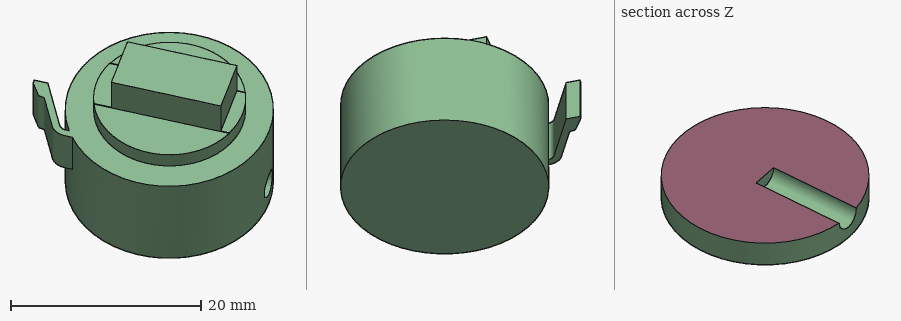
import cadquery as cq
import math

drum_diameter = 21.9
drum_top = 11.25
screw_hole_diameter = 3.0
screw_hole_height = 3.0

arm_height = 5.0
arm_bottom = drum_top - arm_height
arm_lean = math.radians(62)
arm_thickness = 0.8
bend_inner_radius = 1.0
bend_outer_radius = bend_inner_radius + arm_thickness
bend_x = -9.56
bend_y = -4.89
root_x = -8.2
tip_end_x = -14.8
tip_end_y = 0.0
tip_end_flat = 0.4
tip_heel_x = -13.7
tip_heel_y = -2.06
heel_radius = 0.5
neck_radius = 0.4

bottom_angle = math.radians(270)
leaf_angle = bottom_angle - arm_lean
middle_angle = (leaf_angle + bottom_angle) / 2
inner_end_angle = bottom_angle + math.radians(30)

head_x = 0.05
head_y = -0.05
disc_diameter = 16.0
disc_top = 13.0
band_top = disc_top + 0.1
tang_length = 12.0
tang_width = 6.0
tang_offset = 0.5
tang_top = 17.0


def cylinder(diameter, bottom, top):
    return cq.Workplane("XY").workplane(offset=bottom).circle(diameter / 2).extrude(top - bottom)


def bar(length, bottom, top, offset=0.0):
    """Bar along X, as wide as the tang, with its middle moved along X by the offset."""
    base = cq.Workplane("XY").workplane(offset=bottom).center(offset, 0)
    return base.rect(length, tang_width).extrude(top - bottom)


def bend_point(radius, angle):
    return (bend_x + radius * math.cos(angle), bend_y + radius * math.sin(angle))


def leaf_x(radius, y):
    """X, at a given Y, of the straight leaf face tangent to the bend of this radius."""
    start_x, start_y = bend_point(radius, leaf_angle)
    return start_x - (y - start_y) / math.tan(arm_lean)


def make_arm():
    neck_x = leaf_x(bend_outer_radius, tip_heel_y)
    inner_end = bend_point(bend_inner_radius, inner_end_angle)
    arm = (
        cq.Workplane("XY")
        .workplane(offset=arm_bottom)
        .moveTo(tip_end_x, tip_end_y)
        .lineTo(tip_end_x, tip_end_y - tip_end_flat)
        .lineTo(tip_heel_x, tip_heel_y)
        .lineTo(neck_x, tip_heel_y)
        .lineTo(*bend_point(bend_outer_radius, leaf_angle))
        .threePointArc(
            bend_point(bend_outer_radius, middle_angle),
            bend_point(bend_outer_radius, bottom_angle),
        )
        .lineTo(root_x, bend_y - bend_outer_radius)
        .lineTo(root_x, inner_end[1])
        .lineTo(*inner_end)
        .threePointArc(
            bend_point(bend_inner_radius, bottom_angle),
            bend_point(bend_inner_radius, leaf_angle),
        )
        .lineTo(leaf_x(bend_inner_radius, tip_end_y), tip_end_y)
        .close()
        .extrude(arm_height)
    )
    middle_height = arm_bottom + arm_height / 2
    for corner_x, radius in ((tip_heel_x, heel_radius), (neck_x, neck_radius)):
        corner = cq.selectors.NearestToPointSelector((corner_x, tip_heel_y, middle_height))
        arm = arm.edges("|Z").edges(corner).fillet(radius)
    return arm


def make_housing():
    drum = cylinder(drum_diameter, 0, drum_top)
    screw_hole = (
        cq.Workplane("YZ")
        .center(0, screw_hole_height)
        .circle(screw_hole_diameter / 2)
        .extrude(drum_diameter)
    )
    return drum.union(make_arm()).cut(screw_hole)


def make_drive_head():
    disc = cylinder(disc_diameter, drum_top, disc_top)
    band = bar(disc_diameter, disc_top, band_top)
    band = band.intersect(cylinder(disc_diameter, disc_top, band_top))
    tang = bar(tang_length, band_top, tang_top, tang_offset)
    return disc.union(band).union(tang).translate((head_x, head_y, 0))


housing = make_housing()
drive_head = make_drive_head()

result = cq.Compound.makeCompound([housing.val(), drive_head.val()])